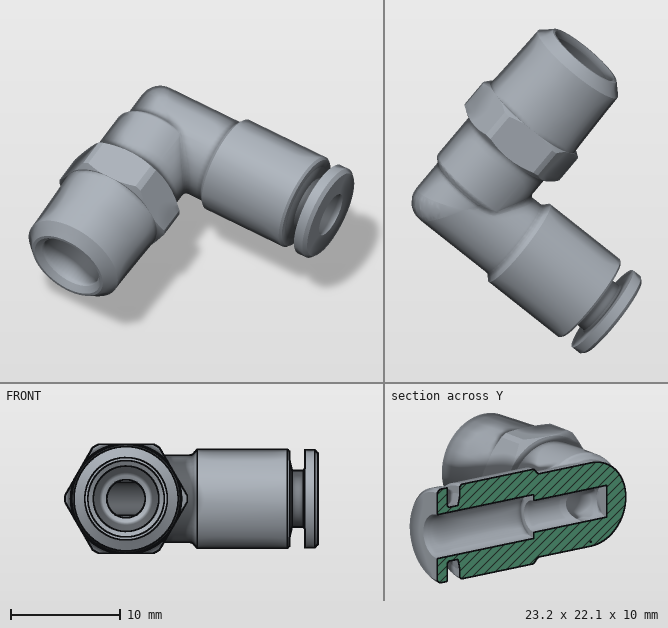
import cadquery as cq
import math


overall_length = 23.2

elbow_radius = 8.0 / 2
elbow_corner_radius = 2.0

collar_radius = 9.0 / 2
step_start_y = -0.93
step_end_y = -1.75
collar_chamfer = 0.19
crotch_fillet = 0.46
collar_end_y = -6.52

hex_across_flats = 10.0
hex_corner_radius = 11.2 / 2
hex_length = 3.48
hex_end_y = collar_end_y - hex_length
hex_back_chamfer = (0.63, 0.42)
hex_front_chamfer = (0.5, 0.35)

thread_end_y = -17.5
thread_chamfer = 1.0
thread_end_radius = 4.78
thread_taper = 1 / 16

socket_radius = 6.0 / 2
socket_mouth_radius = 7.0 / 2
socket_depth = 9.05
drill_radius = 3.5 / 2
drill_cone_angle = 59.0
cross_bore_radius = 3.0 / 2
tube_bore_radius = 4.15 / 2
tube_bore_start_x = 6.55

neck_end_x = 5.82
neck_fillet_end_x = 6.17
neck_fillet_rise = 0.15
sleeve_start_x = 6.55
sleeve_radius = 9.1 / 2
sleeve_end_x = 14.99
sleeve_chamfer = 0.2

ring_cone_radius = 3.62
ring_cone_end_x = 15.22
groove_radius = 5.2 / 2
groove_chamfer = 0.16
flange_start_x = 16.38
flange_radius = 9.0 / 2
flange_chamfer = 0.32
tube_end_x = overall_length - hex_corner_radius


def turn_about_y(profile):
    """Revolve a closed (radius, Y) outline about the Y axis."""
    return profile.close().revolve(360, (0, 0, 0), (0, 1, 0))


def turn_about_x(profile):
    """Revolve a closed (X, radius) outline about the X axis."""
    return profile.close().revolve(360, (0, 0, 0), (1, 0, 0))


def elbow_legs():
    """Equal cylinders that leave the elbow along -Y and +X."""
    upright_leg = cq.Workplane("XZ").circle(elbow_radius).extrude(-step_start_y)
    level_leg = cq.Workplane("YZ").circle(elbow_radius).extrude(neck_end_x)
    return upright_leg.union(level_leg)


def elbow_corner():
    """Mitred outer quadrant of the elbow, with its ridge rounded."""
    upright_half = cq.Workplane("XZ").circle(elbow_radius).extrude(-elbow_radius)
    level_half = cq.Workplane("YZ").circle(elbow_radius).extrude(-elbow_radius)
    ridge = cq.selectors.BoxSelector(
        (-elbow_radius, elbow_radius / 2, -elbow_radius),
        (-elbow_radius / 2, elbow_radius, elbow_radius),
    )
    return upright_half.intersect(level_half).edges(ridge).fillet(elbow_corner_radius)


def collar():
    step_middle = ((elbow_radius + collar_radius) / 2, (step_start_y + step_end_y) / 2)
    profile = (
        cq.Workplane("XY")
        .moveTo(0, step_start_y)
        .lineTo(elbow_radius, step_start_y)
        .spline([step_middle], tangents=[(0, -1), (1, -1)], includeCurrent=True)
        .spline([(collar_radius, step_end_y)], tangents=[(1, -1), (0, -1)], includeCurrent=True)
        .lineTo(collar_radius, collar_end_y + collar_chamfer)
        .lineTo(collar_radius - collar_chamfer, collar_end_y)
        .lineTo(0, collar_end_y)
    )
    return turn_about_y(profile)


def hexagon():
    """Hexagon with corners on the X axis, turned down at the corners and both ends."""
    corner_diameter = hex_across_flats / math.cos(math.radians(30))
    prism = cq.Workplane("XZ", origin=(0, collar_end_y, 0)).polygon(6, corner_diameter).extrude(hex_length)
    back_radial, back_axial = hex_back_chamfer
    front_radial, front_axial = hex_front_chamfer
    envelope = cq.Workplane("XY").polyline([
        (0, collar_end_y),
        (hex_corner_radius - back_radial, collar_end_y),
        (hex_corner_radius, collar_end_y - back_axial),
        (hex_corner_radius, hex_end_y + front_axial),
        (hex_corner_radius - front_radial, hex_end_y),
        (0, hex_end_y),
    ])
    return prism.intersect(turn_about_y(envelope))


def thread():
    taper_end_y = thread_end_y + thread_chamfer
    thread_start_radius = thread_end_radius + (hex_end_y - taper_end_y) * thread_taper / 2
    profile = cq.Workplane("XY").polyline([
        (0, hex_end_y),
        (thread_start_radius, hex_end_y),
        (thread_end_radius, taper_end_y),
        (thread_end_radius - thread_chamfer, thread_end_y),
        (0, thread_end_y),
    ])
    return turn_about_y(profile)


def sleeve_and_ring():
    fillet_end_radius = elbow_radius + neck_fillet_rise
    profile = (
        cq.Workplane("XY")
        .moveTo(neck_end_x, 0)
        .lineTo(neck_end_x, elbow_radius)
        .spline([(neck_fillet_end_x, fillet_end_radius)], tangents=[(1, 0), (1, 1)], includeCurrent=True)
        .lineTo(sleeve_start_x, sleeve_radius)
        .lineTo(sleeve_end_x - sleeve_chamfer, sleeve_radius)
        .lineTo(sleeve_end_x, sleeve_radius - sleeve_chamfer)
        .lineTo(sleeve_end_x, ring_cone_radius)
        .lineTo(ring_cone_end_x, groove_radius)
        .lineTo(flange_start_x - groove_chamfer, groove_radius)
        .lineTo(flange_start_x, groove_radius + groove_chamfer)
        .lineTo(flange_start_x, flange_radius)
        .lineTo(tube_end_x - flange_chamfer, flange_radius)
        .lineTo(tube_end_x, flange_radius - flange_chamfer)
        .lineTo(tube_end_x, 0)
    )
    return turn_about_x(profile)


def round_crotch(solid):
    """Fillet the inner corner where the collar runs into the tube leg."""
    seam = cq.selectors.BoxSelector(
        (collar_radius / 2, -elbow_radius, -collar_radius),
        (collar_radius, step_end_y, collar_radius),
    )
    return solid.edges(seam).fillet(crotch_fillet)


def threaded_leg_bore():
    """Chamfered socket with a conical floor and a drilled hole up to the tube axis."""
    mouth_chamfer = socket_mouth_radius - socket_radius
    socket_end_y = thread_end_y + socket_depth
    cone_height = (socket_radius - drill_radius) / math.tan(math.radians(drill_cone_angle))
    profile = cq.Workplane("XY").polyline([
        (0, thread_end_y),
        (socket_mouth_radius, thread_end_y),
        (socket_radius, thread_end_y + mouth_chamfer),
        (socket_radius, socket_end_y),
        (drill_radius, socket_end_y + cone_height),
        (drill_radius, 0),
        (0, 0),
    ])
    return turn_about_y(profile)


def tube_leg_bore():
    """Flow passage that widens to the tube seat and opens at the release ring."""
    profile = cq.Workplane("XY").polyline([
        (-drill_radius, 0),
        (-drill_radius, cross_bore_radius),
        (tube_bore_start_x, cross_bore_radius),
        (tube_bore_start_x, tube_bore_radius),
        (tube_end_x, tube_bore_radius),
        (tube_end_x, 0),
    ])
    return turn_about_x(profile)


body = elbow_legs().union(collar()).union(hexagon()).union(thread()).union(sleeve_and_ring())
body = round_crotch(body.union(elbow_corner()))
result = body.cut(threaded_leg_bore()).cut(tube_leg_bore())